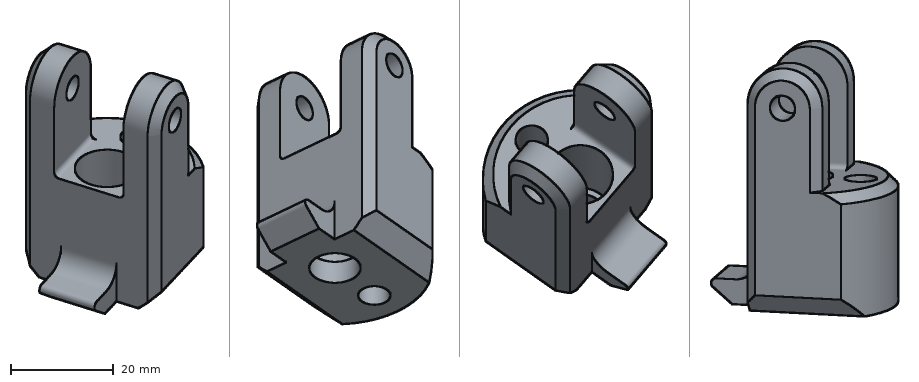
import cadquery as cq
import math

width = 30.0
height = 49.0
deck_height = 25.0
back_radius = 19.0
back_chamfer = 2.0
bottom_chamfer = 4.0

lug_radius = 7.5
lug_chamfer = 2.0
lug_hole_diameter = 5.0
lug_axis_height = height - lug_radius
slot_width = 15.3
slot_corner_radius = 1.1

bore_diameter = 10.0
counterbore_diameter = 12.6
counterbore_depth = 20.0
back_hole_diameter = 6.25
back_hole_y = 12.0

tongue_width = 12.2
tongue_length = 8.95
tongue_height = 5.0
tongue_root_radius = 4.0
tongue_tip_radius = 1.0
tongue_slope = math.radians(40)


def vertical_cylinder(diameter, y, bottom, top):
    """Cylinder along Z, centred on X."""
    return cq.Workplane("XY", origin=(0, y, bottom)).circle(diameter / 2).extrude(top - bottom)


def make_base():
    """Rear block with a cylindrical back and a chamfered rim around its deck."""
    straight_back = cq.Workplane("XY").box(width, back_radius, deck_height, centered=(True, False, False))
    rounded = (
        cq.Workplane("XY")
        .circle(back_radius)
        .extrude(deck_height)
        .faces(">Z")
        .edges()
        .chamfer(back_chamfer)
    )
    return straight_back.intersect(rounded)


def make_lugs():
    """Round-topped upright with chamfered outer sides, split by the clevis slot."""
    upright = (
        cq.Workplane("YZ", origin=(-width / 2, 0, 0))
        .moveTo(-lug_radius, 0)
        .lineTo(-lug_radius, lug_axis_height)
        .threePointArc((0, height), (lug_radius, lug_axis_height))
        .lineTo(lug_radius, 0)
        .close()
        .extrude(width)
    )
    bottom_edges = upright.faces("<Z").edges()
    upright = (
        upright.faces("<X or >X")
        .edges()
        .filter(lambda edge: not any(edge.isSame(other) for other in bottom_edges.vals()))
        .chamfer(lug_chamfer)
    )
    slot = (
        cq.Workplane("XY", origin=(0, 0, deck_height))
        .box(slot_width, 2 * lug_radius, height - deck_height, centered=(True, True, False))
        .faces("<Z")
        .edges("|Y")
        .fillet(slot_corner_radius)
    )
    return upright.cut(slot)


def make_side_cutter(side):
    """Wedge that bevels one lower side edge along the whole body; side is -1 or 1."""
    edge_x = side * width / 2
    return (
        cq.Workplane("XZ")
        .polyline([(edge_x, 0), (edge_x - side * bottom_chamfer, 0), (edge_x, bottom_chamfer)])
        .close()
        .extrude(back_radius, both=True)
    )


def make_tongue():
    """Projecting lip with a concave root, a rounded tip and a sloping underside."""
    front_y = -lug_radius
    root_end_y = front_y - tongue_root_radius
    tip_center_y = front_y - tongue_length + tongue_tip_radius
    tip_center_z = tongue_height - tongue_tip_radius

    tangent_y = tip_center_y - tongue_tip_radius * math.sin(tongue_slope)
    tangent_z = tip_center_z - tongue_tip_radius * math.cos(tongue_slope)
    foot_y = tangent_y + tangent_z / math.tan(tongue_slope)

    root_offset = tongue_root_radius * (1 - math.sqrt(0.5))
    return (
        cq.Workplane("YZ")
        .moveTo(0, 0)
        .lineTo(0, tongue_height + tongue_root_radius)
        .lineTo(front_y, tongue_height + tongue_root_radius)
        .threePointArc(
            (front_y - root_offset, tongue_height + root_offset),
            (root_end_y, tongue_height),
        )
        .lineTo(tip_center_y, tongue_height)
        .threePointArc((front_y - tongue_length, tip_center_z), (tangent_y, tangent_z))
        .lineTo(foot_y, 0)
        .close()
        .extrude(tongue_width / 2, both=True)
    )


body = make_base().union(make_lugs())
for side in (-1, 1):
    body = body.cut(make_side_cutter(side))
body = body.union(make_tongue())

body = body.cut(vertical_cylinder(bore_diameter, 0, 0, deck_height))
body = body.cut(vertical_cylinder(counterbore_diameter, 0, deck_height - counterbore_depth, deck_height))
body = body.cut(vertical_cylinder(back_hole_diameter, back_hole_y, 0, deck_height))

pin_hole = (
    cq.Workplane("YZ", origin=(0, 0, lug_axis_height))
    .circle(lug_hole_diameter / 2)
    .extrude(width / 2, both=True)
)
result = body.cut(pin_hole)